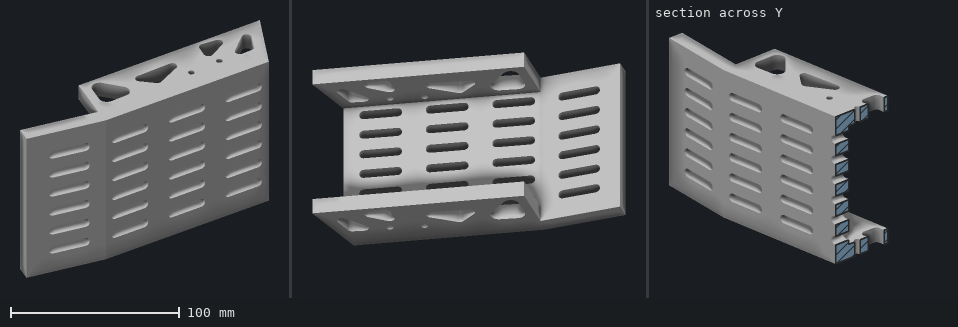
import cadquery as cq
import math

total_length = 175.2
total_height = 100.0
thickness = 10.0
tab_length = 50.0
flange_depth = 40.0
bend_angle = 10.0
end_drop = 11.5

slot_length = 25.8
slot_width = 5.6
slot_columns = 4
slot_rows = 6
column_pitch = 40.0
row_pitch = 13.7
first_column = -23.8

hole_diameter = 4.0
hole_centers = [(-31.9, 86.9), (-27.0, 67.0)]

small_radius = 3.0
large_radius = 4.9
windows = [
    ([(-35.5, 110.9), (-61.8, 117.7), (-31.7, 94.5)], small_radius),
    ([(-53.5, 102.7), (-35.2, 80.8), (-51.7, 81.1)], small_radius),
    ([(-43.3, 72.0), (-23.7, 45.0), (-34.2, 28.7)], small_radius),
    ([(-21.7, 32.0), (-43.8, 5.8), (-16.1, 5.8)], large_radius),
]

lean = math.tan(math.radians(bend_angle))
flange_length = total_length - tab_length
flange_tip_x = -flange_depth - lean * flange_length
end_corner_y = flange_length - end_drop
outer_bend_y = thickness * math.tan(math.radians(bend_angle / 2))
clear_height = total_height - 2 * thickness


def prism(points, height):
    """Extrude a closed XY outline, centred on mid-height."""
    return cq.Workplane("XY").polyline(points).close().extrude(height / 2, both=True)


def side_profile():
    """Full-height block with the outline of a flange and the tab."""
    points = [
        (0, -tab_length),
        (0, outer_bend_y),
        (-lean * (end_corner_y - outer_bend_y), end_corner_y),
        (flange_tip_x, flange_length),
        (-flange_depth, 0),
        (-thickness, 0),
        (-thickness, -tab_length),
    ]
    return prism(points, total_height)


def channel_space():
    """Open space between the flanges, on the -X side of the leaning plate."""
    points = [
        (-thickness, 0),
        (-thickness - lean * flange_length, flange_length),
        (flange_tip_x, flange_length),
        (flange_tip_x, 0),
    ]
    return prism(points, clear_height)


def slot_cutters():
    """Grid of slots cut square to the leaning plate, the first column passing the tab."""
    angle = math.radians(bend_angle)
    plate = cq.Plane(
        origin=(-thickness, 0, 0),
        xDir=(-math.sin(angle), math.cos(angle), 0),
        normal=(math.cos(angle), math.sin(angle), 0),
    )
    middle_row = (slot_rows - 1) / 2
    centers = [
        (first_column + column * column_pitch, (row - middle_row) * row_pitch)
        for column in range(slot_columns)
        for row in range(slot_rows)
    ]
    return (
        cq.Workplane(plate)
        .pushPoints(centers)
        .slot2D(slot_length, slot_width)
        .extrude(2 * thickness, both=True)
    )


def window_cutter(corners, radius):
    """Triangular window with rounded corners, passing through both flanges."""
    return prism(corners, total_height).edges("|Z").fillet(radius)


def hole_cutters():
    """Round holes passing through both flanges."""
    return (
        cq.Workplane("XY")
        .pushPoints(hole_centers)
        .circle(hole_diameter / 2)
        .extrude(total_height / 2, both=True)
    )


result = side_profile().cut(channel_space()).cut(slot_cutters()).cut(hole_cutters())
for window_corners, window_radius in windows:
    result = result.cut(window_cutter(window_corners, window_radius))